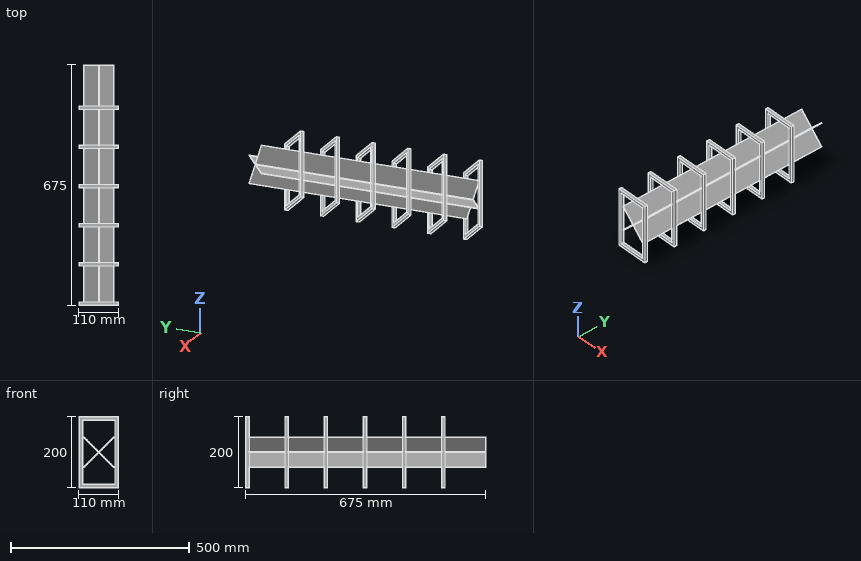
import cadquery as cq

frame_width = 110.0
frame_height = 200.0
bar_size = 10.0
frame_count = 6
frame_pitch = 110.0

overall_length = 675.0
core_start = bar_size / 2
plate_width = 120.0
plate_thickness = 2.0
plate_tilt = 45.0

core_length = overall_length - core_start


def make_box(width, length, height, start):
    """Box centred on X and Z, running toward +Y from the given start."""
    return cq.Workplane("XY").box(width, length, height).translate((0, start + length / 2, 0))


def make_frame(start):
    """Rectangular frame of square bar, open in the middle."""
    outer = make_box(frame_width, bar_size, frame_height, start)
    opening = make_box(frame_width - 2 * bar_size, bar_size, frame_height - 2 * bar_size, start)
    return outer.cut(opening)


def make_cross_core():
    """Two thin plates crossing at right angles on the Y axis, joined as one body."""
    flat_plate = make_box(plate_width, core_length, plate_thickness, core_start)
    upright_plate = make_box(plate_thickness, core_length, plate_width, core_start)
    cross = flat_plate.union(upright_plate)
    return cross.rotate((0, 0, 0), (0, 1, 0), plate_tilt)


cross_core = make_cross_core()

frames = []
for index in range(frame_count):
    frames.append(make_frame(index * frame_pitch).val())

result = cq.Compound.makeCompound([cross_core.val(), *frames])